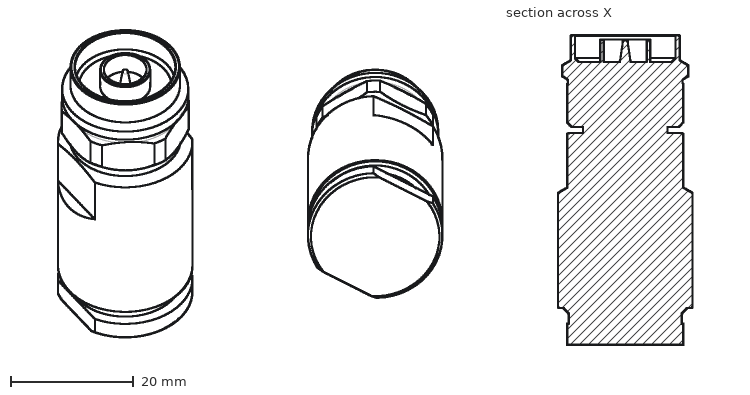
import cadquery as cq
import math


TAN_30 = math.tan(math.radians(30))

total_height = 50.5
body_diameter = 22.0
body_radius = body_diameter / 2
flat_distance = 9.5

clamp_nut_top = 3.5
clamp_nut_chamfer = 0.5
clamp_neck_radius = 9.25

shoulder_bottom = 5.1
shoulder_radius = 10.1
body_bottom = 6.0
body_bottom_chamfer = 0.15
body_top = 34.6
body_top_radius = 9.1
body_chamfer_bottom = 33.85
body_flat_bottom = 25.65
top_neck_radius = 6.9

nut_sides = 6
nut_bottom = 35.5
nut_corner_radius = 10.4
nut_bottom_radius = 8.75

groove_radius = 9.35
groove_height = 42.95
groove_fillet = 0.55
groove_end_angle = 60
collar_radius = 10.3
collar_top = 45.6

sleeve_radius = 8.95
sleeve_chamfer = 0.15
bore_radius = 8.2
bore_chamfer = 0.1
bore_floor = 46.2
bore_floor_radius = 7.6

socket_radius = 4.1
socket_inner_radius = 3.5
socket_top = 49.85
socket_chamfer = 0.1
pin_base_radius = 0.9
pin_tip_radius = 0.45
pin_tip_center = 49.3


def revolve(profile):
    """Turn a closed radius-height outline about the Z axis."""
    return profile.close().revolve(360, (0, 0, 0), (0, 1, 0))


def cylinder(radius, bottom, top):
    return cq.Workplane("XY").workplane(offset=bottom).circle(radius).extrude(top - bottom)


def groove_point(angle):
    """Point on the rounded groove floor, the angle in degrees measured upward from its middle."""
    turn = math.radians(angle)
    return (
        groove_radius + groove_fillet * (1 - math.cos(turn)),
        groove_height + groove_fillet * math.sin(turn),
    )


def make_body():
    """Clamping nut, neck, main body and the thin neck under the coupling nut."""
    return revolve(
        cq.Workplane("XZ")
        .moveTo(0, 0)
        .lineTo(body_radius - clamp_nut_chamfer, 0)
        .lineTo(body_radius, clamp_nut_chamfer)
        .lineTo(body_radius, clamp_nut_top)
        .lineTo(clamp_neck_radius, clamp_nut_top)
        .lineTo(clamp_neck_radius, shoulder_bottom)
        .lineTo(shoulder_radius, body_bottom)
        .lineTo(body_radius - body_bottom_chamfer, body_bottom)
        .lineTo(body_radius, body_bottom + body_bottom_chamfer)
        .lineTo(body_radius, body_chamfer_bottom)
        .lineTo(body_top_radius, body_top)
        .lineTo(top_neck_radius, body_top)
        .lineTo(top_neck_radius, nut_bottom)
        .lineTo(0, nut_bottom)
    )


def make_flat_cutter():
    """Material removed on the +Y side: the clamping nut flat and the body flat with its sloped end."""
    clearance = 0.5
    outer = body_radius + clearance
    slope_drop = (outer - flat_distance) * TAN_30
    clamp_cut = [(flat_distance, 0), (outer, 0), (outer, clamp_nut_top), (flat_distance, clamp_nut_top)]
    body_cut = [
        (flat_distance, body_flat_bottom),
        (outer, body_flat_bottom - slope_drop),
        (outer, body_top),
        (flat_distance, body_top),
    ]
    cutters = [
        cq.Workplane("YZ").polyline(points).close().extrude(body_radius, both=True)
        for points in (clamp_cut, body_cut)
    ]
    return cutters[0].union(cutters[1])


def make_coupling_nut():
    """Hexagon with flats facing +Y and -Y, its corners and both ends turned."""
    cone_top_radius, cone_top = groove_point(-groove_end_angle)
    cone_bottom = cone_top - (nut_corner_radius - cone_top_radius) * TAN_30
    turned = revolve(
        cq.Workplane("XZ")
        .moveTo(0, nut_bottom)
        .lineTo(nut_bottom_radius, nut_bottom)
        .lineTo(nut_corner_radius, nut_bottom + nut_corner_radius - nut_bottom_radius)
        .lineTo(nut_corner_radius, cone_bottom)
        .lineTo(cone_top_radius, cone_top)
        .threePointArc(groove_point(-groove_end_angle / 2), groove_point(0))
        .lineTo(0, groove_height)
    )
    corner_distance = flat_distance / math.cos(math.pi / nut_sides)
    corner_angles = [2 * math.pi * index / nut_sides for index in range(nut_sides)]
    corners = [
        (corner_distance * math.cos(angle), corner_distance * math.sin(angle))
        for angle in corner_angles
    ]
    hexagon = (
        cq.Workplane("XY")
        .workplane(offset=nut_bottom)
        .polyline(corners)
        .close()
        .extrude(groove_height - nut_bottom)
    )
    return turned.intersect(hexagon)


def make_collar_and_sleeve():
    """Collar rising from the groove and the thin sleeve above it."""
    groove_end = groove_point(groove_end_angle)
    collar_bottom = groove_end[1] + (collar_radius - groove_end[0]) * TAN_30
    cone_top = collar_top + (collar_radius - sleeve_radius) * TAN_30
    return revolve(
        cq.Workplane("XZ")
        .moveTo(0, groove_height)
        .lineTo(groove_radius, groove_height)
        .threePointArc(groove_point(groove_end_angle / 2), groove_end)
        .lineTo(collar_radius, collar_bottom)
        .lineTo(collar_radius, collar_top)
        .lineTo(sleeve_radius, cone_top)
        .lineTo(sleeve_radius, total_height - sleeve_chamfer)
        .lineTo(sleeve_radius - sleeve_chamfer, total_height)
        .lineTo(0, total_height)
    )


def make_bore():
    """Open bore of the sleeve, narrowing in a 45 degree cone just above its floor."""
    return revolve(
        cq.Workplane("XZ")
        .moveTo(0, bore_floor)
        .lineTo(bore_floor_radius, bore_floor)
        .lineTo(bore_radius, bore_floor + bore_radius - bore_floor_radius)
        .lineTo(bore_radius, total_height - bore_chamfer)
        .lineTo(bore_radius + bore_chamfer, total_height)
        .lineTo(0, total_height)
    )


def make_socket():
    """Thin tube standing on the bore floor."""
    tube = cylinder(socket_radius, bore_floor, socket_top).faces(">Z").chamfer(socket_chamfer)
    return tube.cut(cylinder(socket_inner_radius, bore_floor, socket_top))


def make_pin():
    """Tapered centre pin with a domed tip."""
    dome_side = pin_tip_radius * math.sin(math.pi / 4)
    return revolve(
        cq.Workplane("XZ")
        .moveTo(0, bore_floor)
        .lineTo(pin_base_radius, bore_floor)
        .lineTo(pin_tip_radius, pin_tip_center)
        .threePointArc((dome_side, pin_tip_center + dome_side), (0, pin_tip_center + pin_tip_radius))
    )


flat_cutter = make_flat_cutter()
body = make_body().cut(flat_cutter).cut(flat_cutter.mirror("XZ"))
plug = make_collar_and_sleeve().cut(make_bore()).union(make_socket()).union(make_pin())
result = body.union(make_coupling_nut()).union(plug)